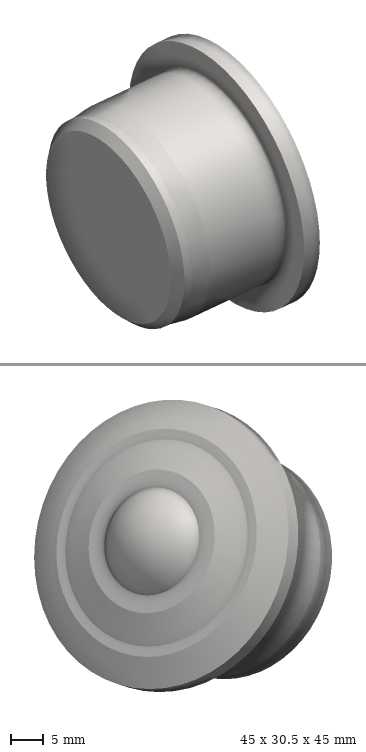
import cadquery as cq


flange_radius = 22.5
total_length = 30.5

body_radius = 18.0
end_radius = 17.5
end_chamfer = 1.5
end_land_length = 1.5
taper_length = 3.0
root_fillet = 0.4

flange_underside = 20.7
flange_thickness = 3.0
cone_height = 1.5
lower_cone_top_radius = 17.75
upper_cone_base_radius = 16.1
upper_cone_top_radius = 11.15

ball_radius = 11.1

land_start = end_chamfer
taper_start = land_start + end_land_length
taper_end = taper_start + taper_length
flange_top = flange_underside + flange_thickness
ledge_level = flange_top + cone_height
cover_top = ledge_level + cone_height
ball_center = total_length - ball_radius


def revolve_about_y(profile):
    """Turn a half profile (radius, Y) into a full solid of revolution."""
    return profile.close().revolve(360, (0, 0, 0), (0, 1, 0))


def make_housing():
    """Body, flange and conical cover from one half profile."""
    fillet_dip = root_fillet * (1 - 0.5**0.5)
    profile = (
        cq.Workplane("XY")
        .lineTo(end_radius - end_chamfer, 0)
        .lineTo(end_radius, land_start)
        .lineTo(end_radius, taper_start)
        .lineTo(body_radius, taper_end)
        .lineTo(body_radius, flange_underside - root_fillet)
        .threePointArc(
            (body_radius + fillet_dip, flange_underside - fillet_dip),
            (body_radius + root_fillet, flange_underside),
        )
        .lineTo(flange_radius, flange_underside)
        .lineTo(flange_radius, flange_top)
        .lineTo(lower_cone_top_radius, ledge_level)
        .lineTo(upper_cone_base_radius, ledge_level)
        .lineTo(upper_cone_top_radius, cover_top)
        .lineTo(0, cover_top)
    )
    return revolve_about_y(profile)


def make_ball():
    """Ball whose lower part is embedded in the housing."""
    profile = (
        cq.Workplane("XY")
        .moveTo(0, ball_center - ball_radius)
        .threePointArc((ball_radius, ball_center), (0, total_length))
    )
    return revolve_about_y(profile)


result = make_housing().union(make_ball())